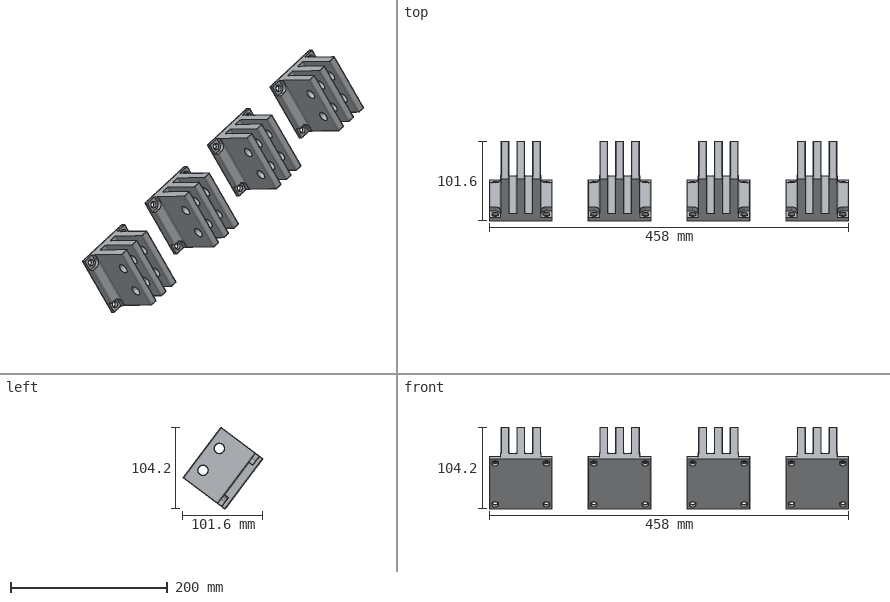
import cadquery as cq
BRACKET_COUNT = 4
ROW_LENGTH = 458.0
TILT_ANGLE = 53.1

PLATE_SIDE = 80.0
PLATE_THICKNESS = 12.0

FIN_COUNT = 3
FIN_THICKNESS = 10.0
FIN_GAP = 10.0
FIN_TOP = 67.0
EDGE_FILLET = 1.0

CROSS_HOLE_DIAMETER = 13.0
CROSS_HOLE_SPACING = 35.0
CROSS_HOLE_HEIGHT = 52.0

SCREW_HOLE_DIAMETER = 8.2
SCREW_INSET = 7.5
SEAT_RADIUS = 7.0
SEAT_HEIGHT = 5.5

FIN_PITCH = FIN_THICKNESS + FIN_GAP
FIN_BLOCK_WIDTH = FIN_COUNT * FIN_THICKNESS + (FIN_COUNT - 1) * FIN_GAP
BRACKET_PITCH = (ROW_LENGTH - PLATE_SIDE) / (BRACKET_COUNT - 1)
SCREW_OFFSET = PLATE_SIDE / 2 - SCREW_INSET


def box_on_plate(width, bottom, top):
    """Box as long as the plate, centred on it, between two heights."""
    return cq.Workplane("XY").workplane(offset=bottom).rect(width, PLATE_SIDE).extrude(top - bottom)


def make_profile_body():
    """Plate with a block on it that is divided into fins by slots."""
    plate = box_on_plate(PLATE_SIDE, 0, PLATE_THICKNESS)
    body = plate.union(box_on_plate(FIN_BLOCK_WIDTH, 0, FIN_TOP))
    for index in range(FIN_COUNT - 1):
        x = (index - (FIN_COUNT - 2) / 2) * FIN_PITCH
        body = body.cut(box_on_plate(FIN_GAP, PLATE_THICKNESS, FIN_TOP).translate((x, 0, 0)))
    return body


def round_long_edges(body):
    """Fillets along the fin roots, the fin tops and the plate sides."""
    return body.edges("|Y").fillet(EDGE_FILLET)


def cut_cross_holes(body):
    """Two holes along X through all the fins."""
    holes = (
        cq.Workplane("YZ", origin=(-FIN_BLOCK_WIDTH / 2, 0, CROSS_HOLE_HEIGHT))
        .pushPoints([(-CROSS_HOLE_SPACING / 2, 0), (CROSS_HOLE_SPACING / 2, 0)])
        .circle(CROSS_HOLE_DIAMETER / 2)
        .extrude(FIN_BLOCK_WIDTH)
    )
    return body.cut(holes)


def screw_seat(side_x, side_y):
    """Round recess at one plate corner, open to both adjoining plate sides, with its through hole."""
    x = side_x * SCREW_OFFSET
    y = side_y * SCREW_OFFSET
    depth = PLATE_THICKNESS + EDGE_FILLET - SEAT_HEIGHT
    plate_half = PLATE_SIDE / 2
    seat_plane = cq.Workplane("XY").workplane(offset=SEAT_HEIGHT)
    opening = (
        seat_plane.moveTo(x, y - side_y * SEAT_RADIUS)
        .lineTo(side_x * plate_half, y - side_y * SEAT_RADIUS)
        .lineTo(side_x * plate_half, side_y * plate_half)
        .lineTo(x - side_x * SEAT_RADIUS, side_y * plate_half)
        .lineTo(x - side_x * SEAT_RADIUS, y)
        .lineTo(x, y)
        .close()
        .extrude(depth)
    )
    round_seat = seat_plane.center(x, y).circle(SEAT_RADIUS).extrude(depth)
    hole = cq.Workplane("XY").center(x, y).circle(SCREW_HOLE_DIAMETER / 2).extrude(PLATE_THICKNESS)
    return opening.union(round_seat).union(hole)


def make_bracket():
    body = cut_cross_holes(round_long_edges(make_profile_body()))
    for side_x in (-1, 1):
        for side_y in (-1, 1):
            body = body.cut(screw_seat(side_x, side_y))
    return body


def place_bracket(bracket, index):
    x = (index - (BRACKET_COUNT - 1) / 2) * BRACKET_PITCH
    return bracket.rotate((0, 0, 0), (1, 0, 0), -TILT_ANGLE).translate((x, 0, 0))


bracket = make_bracket()
brackets = [place_bracket(bracket, index).val() for index in range(BRACKET_COUNT)]
result = cq.Compound.makeCompound(brackets)